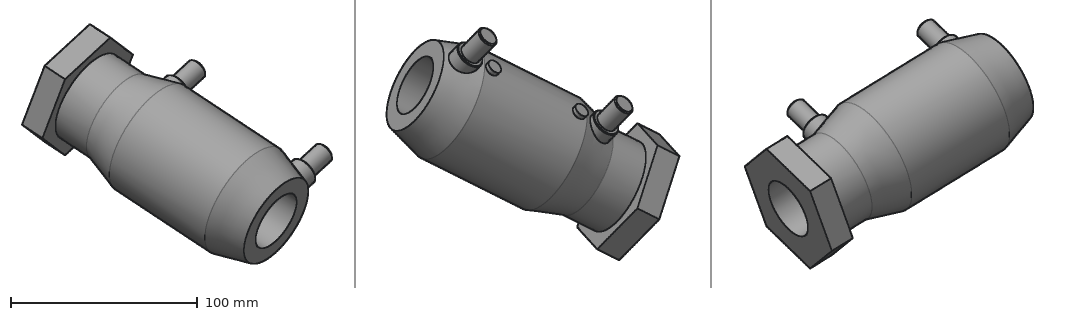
import cadquery as cq
import math

length = 146.6
bore_diameter = 34.0

hex_across_flats = 65.1
hex_width = 14.4

barrel_diameter = 67.0
neck_diameter = 53.5
neck_end = 35.9
barrel_start = 57.8
barrel_end = length - (barrel_start - neck_end)

barrel_middle = (barrel_start + barrel_end) / 2
terminal_spacing = 89.0
terminal_tip = 53.0
terminal_diameter = 11.9
terminal_chamfer = 0.7
collar_diameter = 16.4
collar_top = 36.0
collar_chamfer = 0.5
indicator_spacing = 56.9
indicator_diameter = 8.2
stud_root = (bore_diameter + neck_diameter) / 4


def make_hexagon():
    across_corners = hex_across_flats / math.cos(math.pi / 6)
    return cq.Workplane("YZ").polygon(6, across_corners).extrude(hex_width)


def make_sleeve():
    """Revolve the neck, barrel and conical shoulders about X."""
    neck_radius = neck_diameter / 2
    barrel_radius = barrel_diameter / 2
    return (
        cq.Workplane("XY")
        .lineTo(0, neck_radius)
        .lineTo(neck_end, neck_radius)
        .lineTo(barrel_start, barrel_radius)
        .lineTo(barrel_end, barrel_radius)
        .lineTo(length, neck_radius)
        .lineTo(length, 0)
        .close()
        .revolve(360, (0, 0, 0), (1, 0, 0))
    )


def make_stud(x, diameter, top, chamfer=0):
    """Make a round stud along +Y from inside the wall, with an optional tip chamfer."""
    stud = (
        cq.Workplane("XZ", origin=(x, stud_root, 0))
        .circle(diameter / 2)
        .extrude(stud_root - top)
    )
    if chamfer:
        stud = stud.faces(">Y").edges().chamfer(chamfer)
    return stud


body = make_hexagon().union(make_sleeve())
for side in (-1, 1):
    terminal_x = barrel_middle + side * terminal_spacing / 2
    indicator_x = barrel_middle + side * indicator_spacing / 2
    body = body.union(make_stud(terminal_x, collar_diameter, collar_top, collar_chamfer))
    body = body.union(make_stud(terminal_x, terminal_diameter, terminal_tip, terminal_chamfer))
    body = body.union(make_stud(indicator_x, indicator_diameter, collar_top))

bore = cq.Workplane("YZ").circle(bore_diameter / 2).extrude(length)
result = body.cut(bore)